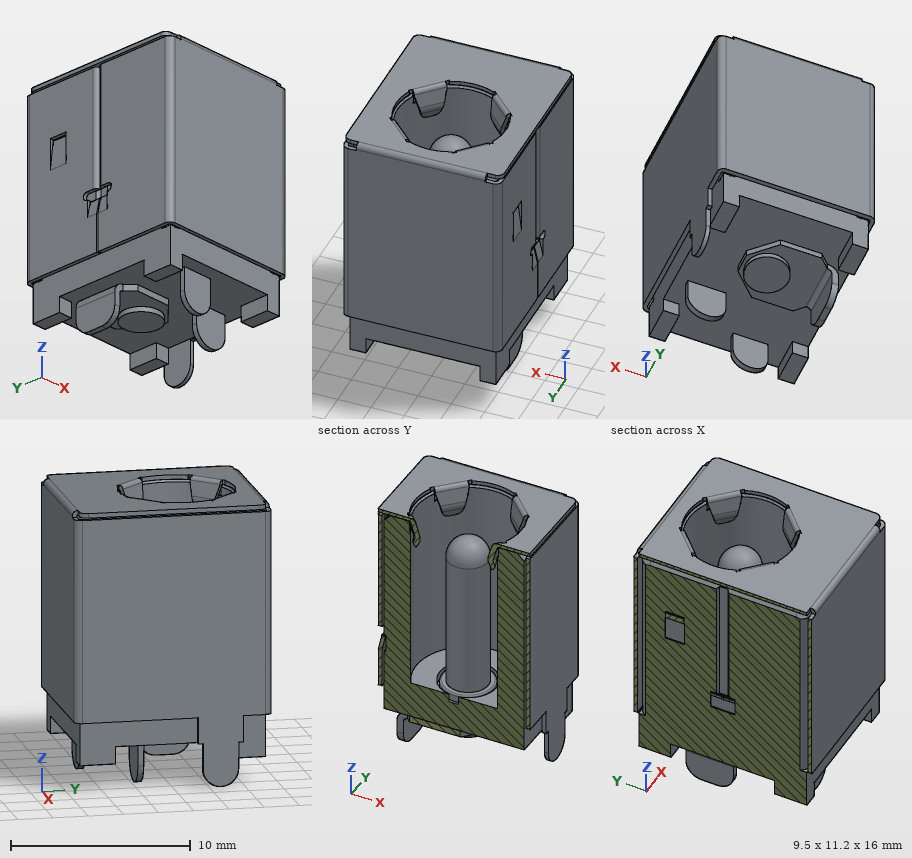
import cadquery as cq
import math

WIDTH = 9.5
DEPTH = 11.2
HEIGHT = 16.0
SIDE_X = WIDTH / 2
SIDE_Y = DEPTH / 2
AXIS_Y = 1.15

SHEET = 0.25
SHELL_BOTTOM = 4.0
CORNER_R = 0.4
FOLD_R = 0.32
FOLD_HALF = 3.87
TOP_GAP = 0.13
PLATE_BOTTOM = HEIGHT - SHEET
WALL_TOP = PLATE_BOTTOM - TOP_GAP
PLATE_Y = SIDE_Y - FOLD_R

SEAM_GAP = 0.1
LIP_R = 0.29
LIP_CENTER_Y = SEAM_GAP / 2 + LIP_R
SLOT_Z = 7.52
SLOT_HEIGHT = 0.51
SLOT_LENGTH = 2.15
SLOT_TOP = SLOT_Z + SLOT_HEIGHT

LANCE_LEAN = 0.22
LANCE_GAP = 0.06
UPPER_LANCE_WIDTH = 1.2
UPPER_LANCE_Y = 3.0
UPPER_LANCE_Z = 10.37
UPPER_LANCE_TOP = 12.34
LOWER_LANCE_WIDTH = 1.52
LOWER_LANCE_Z = 6.42

OPENING_R = 3.3
TAB_TURNS = [45, 135, 225, 315]
TAB_FOLD = 3.17
TAB_FOLD_R = 0.27
TAB_REACH = 2.7
TAB_LEAN = math.radians(12)
TAB_TAIL_LEAN = math.radians(20)
TAB_KNEE_R = 0.8
TAB_TAIL = 0.51
TAB_TOP_HALF = 1.0
TAB_END_HALF = 0.5
TAB_END_R = 0.4
RELIEF_HALF = 1.22

LEG_R = 1.0
SHELL_LEG_Y = 2.67
SHELL_SHOULDER_HALF = 1.28

HOUSING_X = 4.38
HOUSING_Y = 5.28
UNDERSIDE = 2.5
FOOT_BOTTOM = 1.5
FOOT_INNER_X = 3.42
FOOT_INNER_Y = 3.25
HOUSING_CORNER_R = 0.7
TOP_CHAMFER = 0.4
BORE_DIA = 6.4
BORE_CHAMFER = 0.13
TAB_RECESS_DEPTH = 0.64
BORE_FLOOR = 4.8
LEDGE_EDGE_Y = -0.96
LEDGE_HEIGHT = 0.32
LEDGE_DRAFT = 0.06
LEDGE_SLOPE = math.radians(6)
GROOVE_MOUTH_HALF = 0.45
GROOVE_DEPTH = 0.2

PIN_DIA = 2.5
PIN_TOP = 14.45
FLANGE_DIA = 3.2
FLANGE_HEIGHT = 0.5
FLANGE_ROUND = 0.1
FLANGE_POCKET_DIA = 3.5
NECK_DIA = 1.5
RIVET_DIA = 2.6
RIVET_HEIGHT = 0.32

TERMINAL_SHEET = 0.4
TERMINAL_BEND_R = 0.7
TERMINAL_LEG_X = -3.7
TERMINAL_LEG_HALF = 1.49
TERMINAL_PLATE_HALF = 2.06
TERMINAL_PLATE_LEFT = -3.02
TERMINAL_PLATE_RIGHT = 1.49
TERMINAL_LEFT_CHAMFER = TERMINAL_PLATE_HALF - TERMINAL_LEG_HALF
TERMINAL_RIGHT_CHAMFER = 1.44
TERMINAL_BOTTOM = UNDERSIDE - TERMINAL_SHEET

FLAT_SHEET = 0.34
FLAT_TERMINALS = [(-1.2, 2.1, -3.98), (2.5, 2.3, -1.49)]


def box(x0, x1, y0, y1, z0, z1):
    return cq.Workplane("XY").box(x1 - x0, y1 - y0, z1 - z0, centered=False).translate((x0, y0, z0))


def cylinder(diameter, z0, z1):
    return cq.Workplane("XY", origin=(0, AXIS_Y, z0)).circle(diameter / 2).extrude(z1 - z0)


def place_at_tab(shape, turn):
    """Turn a shape built on the +X side of the origin to one tab position around the socket axis."""
    return shape.rotate((0, 0, 0), (0, 0, 1), turn).translate((0, AXIS_Y, 0))


def shell_walls():
    height = WALL_TOP - SHELL_BOTTOM
    outer = cq.Workplane("XY", origin=(0, 0, SHELL_BOTTOM)).rect(WIDTH, DEPTH).extrude(height)
    outer = outer.edges("|Z").fillet(CORNER_R)
    inner = cq.Workplane("XY", origin=(0, 0, SHELL_BOTTOM)).rect(WIDTH - 2 * SHEET, DEPTH - 2 * SHEET)
    return outer.cut(inner.extrude(height).edges("|Z").fillet(CORNER_R - SHEET))


def top_plate():
    plate = cq.Workplane("XY", origin=(0, 0, PLATE_BOTTOM)).rect(WIDTH, 2 * PLATE_Y).extrude(SHEET)
    plate = plate.edges("|Z").fillet(CORNER_R)
    opening = cylinder(2 * OPENING_R, PLATE_BOTTOM, HEIGHT)
    fold_square = (
        cq.Workplane("XY").rect(2 * TAB_FOLD, 2 * TAB_FOLD).extrude(HEIGHT)
        .rotate((0, 0, 0), (0, 0, 1), 45).translate((0, AXIS_Y, 0))
    )
    plate = plate.cut(opening.intersect(fold_square))
    relief_inner = math.sqrt(OPENING_R ** 2 - RELIEF_HALF ** 2)
    relief = box(relief_inner, TAB_FOLD, -RELIEF_HALF, RELIEF_HALF, PLATE_BOTTOM, HEIGHT)
    for turn in TAB_TURNS:
        plate = plate.cut(place_at_tab(relief, turn))
    return plate


def top_fold():
    """Quarter bend that carries the top plate into the -Y wall."""
    inner_r = FOLD_R - SHEET
    diagonal = math.sqrt(0.5)
    bend_z = HEIGHT - FOLD_R
    return (
        cq.Workplane("YZ", origin=(-FOLD_HALF, 0, 0))
        .moveTo(-PLATE_Y, HEIGHT)
        .threePointArc(
            (-PLATE_Y - FOLD_R * diagonal, bend_z + FOLD_R * diagonal),
            (-SIDE_Y, bend_z),
        )
        .lineTo(-SIDE_Y, WALL_TOP)
        .lineTo(-SIDE_Y + SHEET, WALL_TOP)
        .lineTo(-SIDE_Y + SHEET, bend_z)
        .threePointArc(
            (-PLATE_Y - inner_r * diagonal, bend_z + inner_r * diagonal),
            (-PLATE_Y, PLATE_BOTTOM),
        )
        .close()
        .extrude(2 * FOLD_HALF)
    )


def retaining_tab():
    """Tab on the +X side of the opening, bent down, inward, then outward below the knee."""
    sin_lean = math.sin(TAB_LEAN)
    cos_lean = math.cos(TAB_LEAN)
    fold_z = HEIGHT - TAB_FOLD_R
    knee_x = TAB_REACH + TAB_KNEE_R
    upper_run = (TAB_FOLD - TAB_FOLD_R * cos_lean) - (knee_x - TAB_KNEE_R * cos_lean)
    knee_z = fold_z + (TAB_FOLD_R - TAB_KNEE_R) * sin_lean - upper_run * cos_lean / sin_lean
    half_turn = (math.pi / 2 - TAB_LEAN) / 2

    def fold_point(radius, turn):
        return TAB_FOLD - radius * math.sin(turn), fold_z + radius * math.cos(turn)

    def knee_point(radius, angle):
        return knee_x - radius * math.cos(angle), knee_z + radius * math.sin(angle)

    def tail_end(radius):
        x, z = knee_point(radius, -TAB_TAIL_LEAN)
        return x + TAB_TAIL * math.sin(TAB_TAIL_LEAN), z - TAB_TAIL * math.cos(TAB_TAIL_LEAN)

    front_fold_r = TAB_FOLD_R
    back_fold_r = TAB_FOLD_R - SHEET
    front_knee_r = TAB_KNEE_R
    back_knee_r = TAB_KNEE_R - SHEET
    strip = (
        cq.Workplane("XZ", origin=(0, TAB_TOP_HALF, 0))
        .moveTo(*fold_point(front_fold_r, 0))
        .threePointArc(fold_point(front_fold_r, half_turn), fold_point(front_fold_r, 2 * half_turn))
        .lineTo(*knee_point(front_knee_r, TAB_LEAN))
        .threePointArc(knee_point(front_knee_r, 0), knee_point(front_knee_r, -TAB_TAIL_LEAN))
        .lineTo(*tail_end(front_knee_r))
        .lineTo(*tail_end(back_knee_r))
        .lineTo(*knee_point(back_knee_r, -TAB_TAIL_LEAN))
        .threePointArc(knee_point(back_knee_r, 0), knee_point(back_knee_r, TAB_LEAN))
        .lineTo(*fold_point(back_fold_r, 2 * half_turn))
        .threePointArc(fold_point(back_fold_r, half_turn), fold_point(back_fold_r, 0))
        .close()
        .extrude(2 * TAB_TOP_HALF)
    )
    end_z = tail_end(front_knee_r)[1]
    outline = (
        cq.Workplane("YZ")
        .polyline([
            (-TAB_TOP_HALF, HEIGHT),
            (TAB_TOP_HALF, HEIGHT),
            (TAB_TOP_HALF, fold_z),
            (TAB_END_HALF, end_z),
            (-TAB_END_HALF, end_z),
            (-TAB_TOP_HALF, fold_z),
        ])
        .close()
        .extrude(SIDE_X)
        .edges("|X and <Z").fillet(TAB_END_R)
    )
    return strip.intersect(outline)


def seam_lip():
    """Quarter ring that curls one half of the -X wall inward at the seam, on the +Y side."""
    center_x = -SIDE_X + LIP_R
    ring = (
        cq.Workplane("XY", origin=(center_x, LIP_CENTER_Y, SLOT_TOP))
        .circle(LIP_R).circle(LIP_R - SHEET).extrude(WALL_TOP - SLOT_TOP)
    )
    quarter = box(-SIDE_X, center_x, LIP_CENTER_Y - LIP_R, LIP_CENTER_Y, SLOT_TOP, WALL_TOP)
    return ring.intersect(quarter)


def lance(center_y, width, z0, z1):
    outer_x = -SIDE_X
    return (
        cq.Workplane("XZ", origin=(0, center_y + width / 2, 0))
        .polyline([
            (outer_x, z0),
            (outer_x + SHEET, z0),
            (outer_x + SHEET + LANCE_LEAN, z1),
            (outer_x + LANCE_LEAN, z1),
        ])
        .close()
        .extrude(width)
    )


def wall_window(center_y, width, z0, z1):
    half = width / 2
    return box(-SIDE_X, -SIDE_X + SHEET, center_y - half, center_y + half, z0, z1)


def round_leg(width, thickness, top):
    """Flat leg with a semicircular end, centred on X = 0, its front face at Y = 0 and its tip at Z = 0."""
    half = width / 2
    tip = cq.Workplane("XZ", origin=(0, thickness, half)).circle(half).extrude(thickness)
    return box(-half, half, 0, thickness, half, top).union(tip)


def make_shell():
    fold = top_fold()
    shell = shell_walls().union(top_plate()).union(fold).union(fold.mirror("XZ"))
    tab = retaining_tab()
    for turn in TAB_TURNS:
        shell = shell.union(place_at_tab(tab, turn))

    slot = (
        cq.Workplane("YZ", origin=(-SIDE_X, 0, SLOT_Z + SLOT_HEIGHT / 2))
        .slot2D(SLOT_LENGTH, SLOT_HEIGHT).extrude(SHEET)
    )
    shell = shell.cut(slot)
    shell = shell.cut(wall_window(0, 2 * LIP_CENTER_Y, SLOT_TOP, WALL_TOP))
    lip = seam_lip()
    shell = shell.union(lip).union(lip.mirror("XZ"))

    shell = shell.cut(wall_window(UPPER_LANCE_Y, UPPER_LANCE_WIDTH, UPPER_LANCE_Z, UPPER_LANCE_TOP))
    shell = shell.union(
        lance(UPPER_LANCE_Y, UPPER_LANCE_WIDTH, UPPER_LANCE_Z, UPPER_LANCE_TOP - LANCE_GAP)
    )
    shell = shell.cut(wall_window(0, LOWER_LANCE_WIDTH, LOWER_LANCE_Z, SLOT_Z))
    shell = shell.union(lance(0, LOWER_LANCE_WIDTH, LOWER_LANCE_Z, SLOT_Z - LANCE_GAP))
    seam_half = SEAM_GAP / 2
    seam_depth = SHEET + LANCE_LEAN
    shell = shell.cut(
        box(-SIDE_X, -SIDE_X + seam_depth, -seam_half, seam_half, SHELL_BOTTOM, SLOT_Z)
    )

    leg = round_leg(2 * LEG_R, SHEET, SHELL_BOTTOM)
    shoulder = box(-SHELL_SHOULDER_HALF, SHELL_SHOULDER_HALF, 0, SHEET, UNDERSIDE, SHELL_BOTTOM)
    leg = leg.union(shoulder).rotate((0, 0, 0), (0, 0, 1), 90)
    return shell.union(leg.translate((SIDE_X, SHELL_LEG_Y, 0)))


def bore_tool():
    bore = cylinder(BORE_DIA, BORE_FLOOR, PLATE_BOTTOM)
    mouth_r = BORE_DIA / 2 + BORE_CHAMFER
    mouth = cq.Workplane("XY").add(
        cq.Solid.makeCone(
            mouth_r - BORE_CHAMFER, mouth_r, BORE_CHAMFER,
            cq.Vector(0, AXIS_Y, PLATE_BOTTOM - BORE_CHAMFER), cq.Vector(0, 0, 1),
        )
    )
    ledge_end_y = AXIS_Y - BORE_DIA / 2
    ledge_rise = (LEDGE_EDGE_Y - ledge_end_y) * math.tan(LEDGE_SLOPE)
    ledge = (
        cq.Workplane("YZ", origin=(-BORE_DIA / 2, 0, BORE_FLOOR))
        .polyline([
            (LEDGE_EDGE_Y + LEDGE_DRAFT, 0),
            (LEDGE_EDGE_Y, LEDGE_HEIGHT),
            (ledge_end_y, LEDGE_HEIGHT + ledge_rise),
            (ledge_end_y, 0),
        ])
        .close()
        .extrude(BORE_DIA)
    )
    return bore.cut(ledge).union(mouth)


def tab_recess():
    return box(0, TAB_FOLD, -TAB_TOP_HALF, TAB_TOP_HALF, PLATE_BOTTOM - TAB_RECESS_DEPTH, PLATE_BOTTOM)


def seam_groove():
    """Tapered vertical groove in the -X side that clears the seam lips."""
    floor_half = GROOVE_MOUTH_HALF - GROOVE_DEPTH
    return (
        cq.Workplane("XY", origin=(0, 0, SLOT_Z))
        .polyline([
            (-HOUSING_X, -GROOVE_MOUTH_HALF),
            (-HOUSING_X + GROOVE_DEPTH, -floor_half),
            (-HOUSING_X + GROOVE_DEPTH, floor_half),
            (-HOUSING_X, GROOVE_MOUTH_HALF),
        ])
        .close()
        .extrude(PLATE_BOTTOM - SLOT_Z)
    )


def lance_pocket(center_y, width, z0, z1):
    """Recess in the -X side that takes the leaning end of a lance."""
    half = width / 2
    floor_x = -SIDE_X + SHEET + LANCE_LEAN
    return box(-HOUSING_X, floor_x, center_y - half, center_y + half, z0, z1)


def make_housing():
    base = box(-HOUSING_X, HOUSING_X, -HOUSING_Y, HOUSING_Y, FOOT_BOTTOM, SHELL_BOTTOM)
    upper = box(-HOUSING_X, HOUSING_X, -HOUSING_Y, HOUSING_Y, SHELL_BOTTOM, PLATE_BOTTOM)
    upper = upper.edges("|Z").fillet(HOUSING_CORNER_R).faces(">Z").chamfer(TOP_CHAMFER)
    housing = base.union(upper)
    housing = housing.cut(
        box(-FOOT_INNER_X, FOOT_INNER_X, -HOUSING_Y, HOUSING_Y, FOOT_BOTTOM, UNDERSIDE)
    )
    housing = housing.cut(
        box(-HOUSING_X, HOUSING_X, -FOOT_INNER_Y, FOOT_INNER_Y, FOOT_BOTTOM, UNDERSIDE)
    )
    housing = housing.cut(bore_tool()).cut(seam_groove())
    for turn in TAB_TURNS:
        housing = housing.cut(place_at_tab(tab_recess(), turn))
    housing = housing.cut(
        lance_pocket(UPPER_LANCE_Y, UPPER_LANCE_WIDTH, UPPER_LANCE_Z, UPPER_LANCE_TOP)
    )
    housing = housing.cut(lance_pocket(0, LOWER_LANCE_WIDTH, LOWER_LANCE_Z, SLOT_Z))
    housing = housing.cut(cylinder(FLANGE_POCKET_DIA, BORE_FLOOR - FLANGE_HEIGHT, BORE_FLOOR))
    return housing.cut(cylinder(NECK_DIA, UNDERSIDE, BORE_FLOOR))


def make_pin():
    flange_bottom = BORE_FLOOR - FLANGE_HEIGHT
    dome_z = PIN_TOP - PIN_DIA / 2
    pin = cylinder(FLANGE_DIA, flange_bottom, BORE_FLOOR).faces(">Z").edges().fillet(FLANGE_ROUND)
    pin = pin.union(cylinder(PIN_DIA, BORE_FLOOR, dome_z))
    pin = pin.union(cq.Workplane("XY", origin=(0, AXIS_Y, dome_z)).sphere(PIN_DIA / 2))
    pin = pin.union(cylinder(NECK_DIA, TERMINAL_BOTTOM, flange_bottom))
    return pin.union(cylinder(RIVET_DIA, TERMINAL_BOTTOM - RIVET_HEIGHT, TERMINAL_BOTTOM))


def make_pin_terminal():
    bend_x = TERMINAL_LEG_X + TERMINAL_BEND_R
    bend_z = UNDERSIDE - TERMINAL_BEND_R
    leg_inner_x = TERMINAL_LEG_X + TERMINAL_SHEET
    inner_r = TERMINAL_BEND_R - TERMINAL_SHEET
    diagonal = math.sqrt(0.5)
    strip = (
        cq.Workplane("XZ", origin=(0, TERMINAL_LEG_HALF, 0))
        .moveTo(TERMINAL_LEG_X, 0)
        .lineTo(TERMINAL_LEG_X, bend_z)
        .threePointArc(
            (bend_x - TERMINAL_BEND_R * diagonal, bend_z + TERMINAL_BEND_R * diagonal),
            (bend_x, UNDERSIDE),
        )
        .lineTo(0, UNDERSIDE)
        .lineTo(0, TERMINAL_BOTTOM)
        .lineTo(bend_x, TERMINAL_BOTTOM)
        .threePointArc(
            (bend_x - inner_r * diagonal, bend_z + inner_r * diagonal),
            (leg_inner_x, bend_z),
        )
        .lineTo(leg_inner_x, 0)
        .close()
        .extrude(2 * TERMINAL_LEG_HALF)
        .edges("|X and <Z").fillet(LEG_R)
    )
    plate = box(
        TERMINAL_PLATE_LEFT, TERMINAL_PLATE_RIGHT,
        -TERMINAL_PLATE_HALF, TERMINAL_PLATE_HALF,
        TERMINAL_BOTTOM, UNDERSIDE,
    )
    plate = plate.edges("|Z and <X").chamfer(TERMINAL_LEFT_CHAMFER)
    plate = plate.edges("|Z and >X").chamfer(TERMINAL_RIGHT_CHAMFER)
    terminal = strip.union(plate).translate((0, AXIS_Y, 0))
    return terminal.cut(cylinder(NECK_DIA, TERMINAL_BOTTOM, UNDERSIDE))


def make_flat_terminal(center_x, width, rear_y):
    leg = round_leg(width, FLAT_SHEET, UNDERSIDE)
    return leg.translate((center_x, rear_y - FLAT_SHEET, 0))


shell = make_shell()
housing = make_housing()
pin = make_pin()
pin_terminal = make_pin_terminal()
flat_terminals = [make_flat_terminal(*place) for place in FLAT_TERMINALS]

result = cq.Compound.makeCompound([
    shell.solids().val(),
    housing.solids().val(),
    pin.solids().val(),
    pin_terminal.solids().val(),
    *[terminal.solids().val() for terminal in flat_terminals],
])